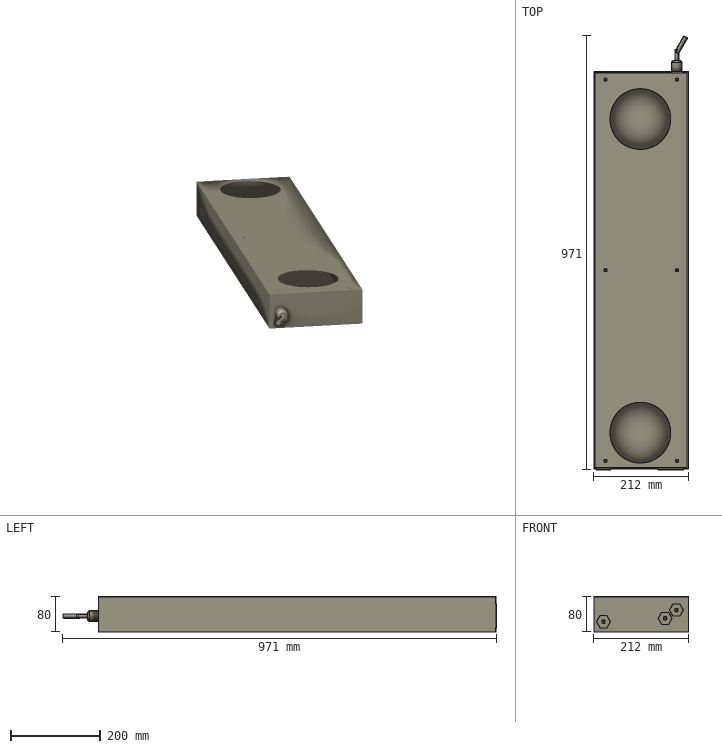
import cadquery as cq
import math

box_width = 212.0
box_height = 80.0
total_length = 971
nut_height = 2.0
gland_and_cable_length = 80.0
box_length = total_length - nut_height - gland_and_cable_length
wall = 3.0
plate = 1.5

port_diameter = 136
port_spacing = 702.0
port_x = -2.0
port_middle_y = -13.0
screw_hole_diameter = 7.0
screw_spacing_x = 160.0
screw_spacing_y = 853.0

nut_across_corners = 31.0
nut_bore = 8.0
nut_centres = [(-84.0, -16.5), (53.0, -9.0), (79.0, 10)]

gland_x = 80.0
gland_z = -4.0
gland_diameter = 24.0
gland_length = 24.0
gland_chamfer = 4.0
cable_diameter = 9.0
cable_straight = 25.0
sleeve_diameter = 10
sleeve_angle = 30
sleeve_offset = 18.0

end_y = box_length / 2


def hollow_box():
    outer = cq.Workplane("XY").box(box_width, box_length, box_height)
    inner = cq.Workplane("XY").box(
        box_width - 2 * wall, box_length - 2 * wall, box_height - 2 * plate
    )
    return outer.cut(inner)


def top_openings():
    plane = cq.Workplane("XY", origin=(0, 0, box_height / 2 - plate))
    port_centres = plane.center(port_x, port_middle_y).rarray(10, port_spacing, 1, 2)
    ports = port_centres.circle(port_diameter / 2).extrude(plate)
    screws = plane.rarray(screw_spacing_x, screw_spacing_y / 2, 2, 3).circle(screw_hole_diameter / 2)
    return ports.union(screws.extrude(plate))


def end_nuts():
    face = cq.Workplane("XZ", origin=(0, -end_y, 0)).pushPoints(nut_centres)
    return face.polygon(6, nut_across_corners).extrude(nut_height)


def nut_bores():
    inside = cq.Workplane("XZ", origin=(0, -end_y + wall, 0)).pushPoints(nut_centres)
    return inside.circle(nut_bore / 2).extrude(wall + nut_height)


def gland():
    face = cq.Workplane("XZ", origin=(gland_x, end_y, gland_z))
    body = face.circle(gland_diameter / 2).extrude(-gland_length)
    return body.faces(">Y").chamfer(gland_chamfer)


def cable():
    angle = math.radians(sleeve_angle)
    radius = sleeve_diameter / 2
    start = cq.Vector(gland_x, end_y + gland_length, gland_z)
    wire = cq.Solid.makeCylinder(cable_diameter / 2, cable_straight, start, cq.Vector(0, 1, 0))
    reach_y = gland_and_cable_length - gland_length - sleeve_offset - radius * math.sin(angle)
    sleeve = cq.Solid.makeCylinder(
        radius,
        reach_y / math.cos(angle),
        start + cq.Vector(0, sleeve_offset, 0),
        cq.Vector(math.sin(angle), math.cos(angle), 0),
    )
    return cq.Workplane(wire).union(cq.Workplane(sleeve))


result = hollow_box().cut(top_openings())
result = result.union(end_nuts()).cut(nut_bores())
result = result.union(gland()).union(cable())